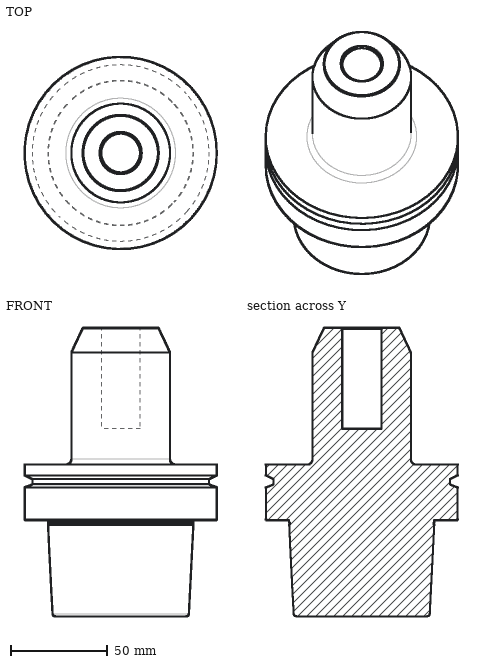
import cadquery as cq

total_height = 149.9
taper_length = 49.9
flange_height = 29.0
flange_top = taper_length + flange_height
nose_height = 12.9
nose_base = total_height - nose_height

taper_end_radius = 35.4
taper_base_radius = 37.8
taper_end_fillet = 1.5
relief_bottom = 47.5
relief_top = 48.9
relief_depth = 0.3
relief_bevel = 0.5

flange_radius = 49.9
flange_edge_chamfer = 0.5
groove_radius = 45.9
groove_bottom = 67.0
groove_floor_bottom = 68.7
groove_floor_top = 71.2
groove_top = 73.2
groove_corner_radius = 46.8
groove_corner_rise = 0.5

shank_radius = 25.6
root_fillet = 2.8
nose_tip_radius = 19.8
nose_tip_chamfer = 0.5
bore_radius = 10.0
bore_depth = 52.5
bore_chamfer = 0.9


def revolve_outline(points):
    """Turn a closed (radius, height) outline around the Z axis."""
    return cq.Workplane("XZ").polyline(points).close().revolve(360, (0, 0, 0), (0, 1, 0))


def make_taper():
    """Cone with a rounded small end and a shallow relief ring under the flange."""
    relief_radius = taper_base_radius - relief_depth
    cone = revolve_outline([
        (0, 0),
        (taper_end_radius, 0),
        (taper_base_radius, relief_bottom),
        (relief_radius, relief_bottom + relief_bevel),
        (relief_radius, relief_top - relief_bevel),
        (taper_base_radius, relief_top),
        (taper_base_radius, taper_length),
        (0, taper_length),
    ])
    return cone.faces("<Z").edges().fillet(taper_end_fillet)


def make_flange():
    """Disc with a bevelled gripper groove whose walls flatten out near the floor."""
    return revolve_outline([
        (0, taper_length),
        (flange_radius - flange_edge_chamfer, taper_length),
        (flange_radius, taper_length + flange_edge_chamfer),
        (flange_radius, groove_bottom),
        (groove_corner_radius, groove_floor_bottom - groove_corner_rise),
        (groove_radius, groove_floor_bottom),
        (groove_radius, groove_floor_top),
        (groove_corner_radius, groove_floor_top + groove_corner_rise),
        (flange_radius, groove_top),
        (flange_radius, flange_top),
        (0, flange_top),
    ])


def make_nose():
    """Cylindrical shank with a concave root fillet and a conical tip."""
    profile = (
        cq.Workplane("XZ")
        .moveTo(0, flange_top)
        .lineTo(shank_radius + root_fillet, flange_top)
        .radiusArc((shank_radius, flange_top + root_fillet), root_fillet)
        .lineTo(shank_radius, nose_base)
        .lineTo(nose_tip_radius, total_height - nose_tip_chamfer)
        .lineTo(nose_tip_radius - nose_tip_chamfer, total_height)
        .lineTo(0, total_height)
        .close()
    )
    return profile.revolve(360, (0, 0, 0), (0, 1, 0))


def make_bore():
    """Blind tool bore with a chamfered mouth."""
    return revolve_outline([
        (0, total_height - bore_depth),
        (bore_radius, total_height - bore_depth),
        (bore_radius, total_height - bore_chamfer),
        (bore_radius + bore_chamfer, total_height),
        (0, total_height),
    ])


result = make_taper().union(make_flange()).union(make_nose()).cut(make_bore())